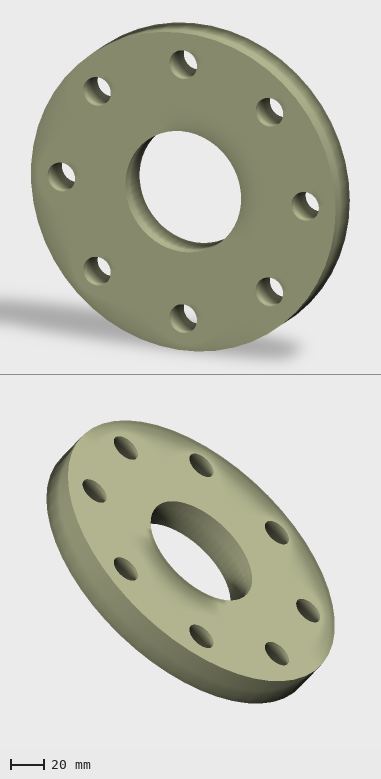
import cadquery as cq

outer_diameter = 200.0
thickness = 22.0
bore_diameter = 76.0

bolt_circle_diameter = 160.0
bolt_hole_diameter = 18.0
bolt_count = 8

ring = (
    cq.Workplane("XZ", origin=(0, thickness / 2, 0))
    .circle(outer_diameter / 2)
    .circle(bore_diameter / 2)
    .extrude(thickness)
)

result = (
    ring.faces("<Y")
    .workplane(origin=(0, 0, 0))
    .polarArray(bolt_circle_diameter / 2, 0, 360, bolt_count)
    .hole(bolt_hole_diameter)
)